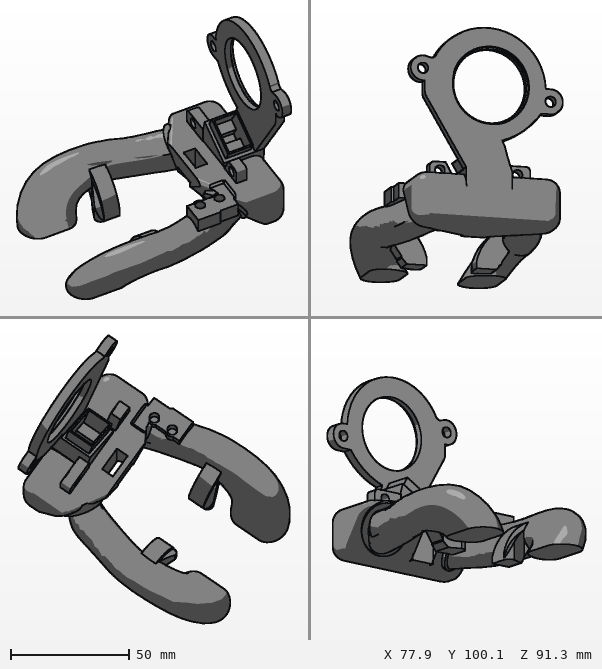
import cadquery as cq
import math

FAR = 150.2

BODY_HALF_WIDTH = 32.5
BODY_FRONT_Y = -32.9
BODY_BOTTOM_Z = 5.9
BODY_TOP_Z = 28.5
BODY_ROUND = 6.2

SHOULDER_POINT = (-13.9, BODY_FRONT_Y, 25.8)
SHOULDER_TURN = math.radians(30)
SHOULDER_DIP = math.radians(32)
SHOULDER_ROUND = 1.8

NOTCH_WIDTH = 10.9
NOTCH_BACK_Y = -24.6
NOTCH_ROOF_Z = 21.3
WINDOW_DEPTH = 5.5
SILL_DEPTH = 5.0

EAR_BACK_Y = -14.6
EAR_FRONT_Y = -19.6
EAR_TOP_Z = 35.4
EAR_HALF_SPAN = 22.1
EAR_ROUND = 2.0
LEFT_EAR_END_X = -7.9
RIGHT_EAR_TOP_X = 15.2
RIGHT_EAR_END_X = 11.4
ROOT_OVERLAP = 1.0
EAR_HOLE_DIAMETER = 4.3
EAR_HOLE_Z = 31.7
LEFT_EAR_HOLE_X = -16.5
RIGHT_EAR_HOLE_X = 17.6

PLATE_THICKNESS = 4.3
FAN_OPENING_DIAMETER = 32.0
FAN_RECESS_DIAMETER = 33.6
FAN_RECESS_DEPTH = 1.5
FAN_OPENING_CENTER = (-0.5, 66.5)
LUG_RADIUS = 5.4
LUG_HOLE_DIAMETER = 4.5
LEFT_LUG = (-26.8, 61.0)
RIGHT_LUG = (29.3, 72.3)
FOOT_Z = 22.0
FOOT_LEFT_X = -10.0
FOOT_RIGHT_X = 10.2

DUCT_FRONT_Y = -19.3
DUCT_LEFT_TOP = (-6.7, 40.3)
DUCT_TILT = 30.0
DUCT_TOP_LENGTH = 19.7
DUCT_RIGHT_TOP = (
    DUCT_LEFT_TOP[0] + DUCT_TOP_LENGTH * math.cos(math.radians(DUCT_TILT)),
    DUCT_LEFT_TOP[1] - DUCT_TOP_LENGTH * math.sin(math.radians(DUCT_TILT)),
)
DUCT_CURVE_Z = 29.3
LIP_LENGTH = 16.7
LIP_OFFSET = 1.4
LIP_HEIGHT = 5.0
LIP_BACK_Y = -5.7
LIP_FRONT_Y = -17.8
LIP_WALL = 0.8
DUCT_DEPTH = 8.3
WELL_OFFSET = 4.8
WELL_LENGTH = 4.2
WELL_DEPTH = 5.0

FINGER_TILT = math.radians(32)
FINGER_END_Z = 0.8
FINGER_THICKNESS = 14.5
FINGER_OUT = 17.7
FINGER_STATIONS = (
    (-16, -24.0, 6.2, 16.6, 15.6),
    (-26, -24.7, 10.2, 17.8, 16.6),
    (-36, -25.6, 13.9, 17.2, 16.2),
    (-46, -27.0, 16.2, 17.1, 15.6),
    (-55.1, -28.5, 17.7, 17.2, 15.2),
)
BEND_ANGLES = (15, 40, 65, 90)
BEND_V = -12.0
OUTER_BEND_Y = -74.9
OUTER_BEND_RUN = 25.2
OUTER_BEND_RISE = 24.9
INNER_BEND_Y = -59.1
INNER_BEND_RUN = 14.7
INNER_BEND_RISE = 8.3
TIP_OVERRUN = 8.0

COLLAR_CENTER = (-20.0, -23.4, 17.3)
COLLAR_HALF_WIDTH = 9.8
COLLAR_HALF_HEIGHT = 11.8
COLLAR_HEIGHT = 1.5
COLLAR_ROOT = 2.0

PAD_BACK_Y = -57.8
PAD_FRONT_Y = -65.4
PAD_TIP_Y = -68.3
PAD_TIP_X = -10.9
BEAD_ROOT_X = -22.0
BEAD_INSET = 2.0

SWITCH_TOP_Z = 27.4
SWITCH_BOTTOM_Z = 21.0
SWITCH_LEFT_X = 18.4
SWITCH_BACK_Y = -23.8
SWITCH_RIGHT_X = 33.6
SWITCH_FRONT_Y = -44.1
SWITCH_STEP = 0.8
SWITCH_STEP_Y = -32.8
SWITCH_NECK_X = 23.5
SWITCH_NECK_Y = -27.0
POCKET_SIZE = 30.0
POCKET_WALL_SLOPE = 38.0
SWITCH_HOLE_DIAMETER = 4.3
SWITCH_HOLE_X = 25.7
SWITCH_HOLE_YS = (-29.7, -38.9)
SWITCH_BOSS_RADIUS = 3.0


def box(x0, x1, y0, y1, z0, z1):
    return cq.Workplane("XY").box(x1 - x0, y1 - y0, z1 - z0, centered=False).translate((x0, y0, z0))


def mirrored_pair(left):
    return left.union(left.mirror("YZ"))


def front_prism(sketch, back_y, front_y):
    """Extrude a closed XZ outline from back_y forward to front_y."""
    return sketch.extrude(back_y - front_y).translate((0, back_y, 0))


def shoulder_plane(origin):
    normal = (
        -math.sin(SHOULDER_TURN) * math.cos(SHOULDER_DIP),
        -math.cos(SHOULDER_TURN) * math.cos(SHOULDER_DIP),
        -math.sin(SHOULDER_DIP),
    )
    x_dir = (math.cos(SHOULDER_TURN), -math.sin(SHOULDER_TURN), 0)
    return cq.Plane(origin=origin, xDir=x_dir, normal=normal)


def make_body():
    """Rounded block; each half is cut by its shoulder, rounded there, then trimmed at the front."""
    block = box(-BODY_HALF_WIDTH, BODY_HALF_WIDTH, 3 * BODY_FRONT_Y, 0, BODY_BOTTOM_Z, BODY_TOP_Z)
    block = block.edges("|Y or >Y").fillet(BODY_ROUND)
    shoulder = shoulder_plane(SHOULDER_POINT)
    beyond = cq.Workplane(shoulder).rect(2 * FAR, 2 * FAR).extrude(FAR)
    block = block.cut(beyond)
    shoulder_face = block.faces(cq.DirectionMinMaxSelector(shoulder.zDir, True))
    block = shoulder_face.edges().fillet(SHOULDER_ROUND)
    left = block.intersect(box(-BODY_HALF_WIDTH, 0, BODY_FRONT_Y, 0, BODY_BOTTOM_Z, BODY_TOP_Z))
    return mirrored_pair(left)


def cut_notch(body):
    half = NOTCH_WIDTH / 2
    notch = box(-half, half, BODY_FRONT_Y, NOTCH_BACK_Y, BODY_BOTTOM_Z, NOTCH_ROOF_Z)
    window = box(-half, half, NOTCH_BACK_Y - WINDOW_DEPTH, NOTCH_BACK_Y, BODY_BOTTOM_Z, BODY_TOP_Z)
    sill = box(-half, half, NOTCH_BACK_Y, NOTCH_BACK_Y + SILL_DEPTH, BODY_BOTTOM_Z, NOTCH_ROOF_Z)
    return body.cut(notch).union(sill).cut(window)


def make_ears():
    ear_root_z = BODY_TOP_Z - ROOT_OVERLAP
    left = (
        cq.Workplane("XZ")
        .moveTo(-EAR_HALF_SPAN, ear_root_z)
        .lineTo(-EAR_HALF_SPAN, EAR_TOP_Z - EAR_ROUND)
        .radiusArc((-EAR_HALF_SPAN + EAR_ROUND, EAR_TOP_Z), EAR_ROUND)
        .lineTo(LEFT_EAR_END_X, EAR_TOP_Z)
        .lineTo(LEFT_EAR_END_X, ear_root_z)
        .close()
    )
    right = (
        cq.Workplane("XZ")
        .moveTo(EAR_HALF_SPAN, ear_root_z)
        .lineTo(EAR_HALF_SPAN, EAR_TOP_Z - EAR_ROUND)
        .radiusArc((EAR_HALF_SPAN - EAR_ROUND, EAR_TOP_Z), -EAR_ROUND)
        .lineTo(RIGHT_EAR_TOP_X, EAR_TOP_Z)
        .lineTo(RIGHT_EAR_END_X, BODY_TOP_Z)
        .lineTo(RIGHT_EAR_END_X, ear_root_z)
        .close()
    )
    ears = front_prism(left, EAR_BACK_Y, EAR_FRONT_Y).union(front_prism(right, EAR_BACK_Y, EAR_FRONT_Y))
    holes = cq.Workplane("XZ").pushPoints([(LEFT_EAR_HOLE_X, EAR_HOLE_Z), (RIGHT_EAR_HOLE_X, EAR_HOLE_Z)])
    return ears.cut(front_prism(holes.circle(EAR_HOLE_DIAMETER / 2), EAR_BACK_Y, EAR_FRONT_Y))


def make_plate():
    outline = (
        cq.Workplane("XZ")
        .moveTo(-5.6, 42.9)
        .threePointArc((-16.3, 48.6), (-22.8, 55.6))
        .lineTo(LEFT_LUG[0], LEFT_LUG[1] - LUG_RADIUS)
        .lineTo(LEFT_LUG[0], LEFT_LUG[1] + LUG_RADIUS)
        .lineTo(-24.7, 66.5)
        .threePointArc((0.95, 91.3), (23.2, 78.9))
        .threePointArc((24.1, 77.5), (25.4, 76.9))
        .lineTo(RIGHT_LUG[0], RIGHT_LUG[1] + LUG_RADIUS)
        .lineTo(28.5, 67.0)
        .lineTo(28.5, 62.6)
        .threePointArc((28.3, 61.1), (27.7, 59.8))
        .lineTo(*DUCT_RIGHT_TOP)
        .lineTo(FOOT_RIGHT_X, FOOT_Z)
        .lineTo(0, FOOT_Z)
        .lineTo(*DUCT_LEFT_TOP)
        .close()
    )
    plate = front_prism(outline, 0, -PLATE_THICKNESS)
    lugs = cq.Workplane("XZ").pushPoints([LEFT_LUG, RIGHT_LUG])
    plate = plate.union(front_prism(lugs.circle(LUG_RADIUS), 0, -PLATE_THICKNESS))
    plate = plate.cut(front_prism(lugs.circle(LUG_HOLE_DIAMETER / 2), 0, -PLATE_THICKNESS))
    opening = cq.Workplane("XZ").center(*FAN_OPENING_CENTER).circle(FAN_OPENING_DIAMETER / 2)
    plate = plate.cut(front_prism(opening, 0, -PLATE_THICKNESS))
    recess = cq.Workplane("XZ").center(*FAN_OPENING_CENTER).circle(FAN_RECESS_DIAMETER / 2)
    return plate.cut(front_prism(recess, 0, -FAN_RECESS_DEPTH))


def tilted_box(start, length, low, high, back_y, front_y):
    """Box lying along the slanted top of the outlet block, low..high measured off that top."""
    block = box(start, start + length, front_y, back_y, low, high)
    block = block.rotate((0, 0, 0), (0, 1, 0), DUCT_TILT)
    return block.translate((DUCT_LEFT_TOP[0], 0, DUCT_LEFT_TOP[1]))


def make_duct():
    outline = (
        cq.Workplane("XZ")
        .moveTo(*DUCT_LEFT_TOP)
        .lineTo(*DUCT_RIGHT_TOP)
        .lineTo(FOOT_RIGHT_X, FOOT_Z)
        .lineTo(FOOT_LEFT_X, FOOT_Z)
        .lineTo(FOOT_LEFT_X, DUCT_CURVE_Z)
        .threePointArc((-8.1, 35.2), DUCT_LEFT_TOP)
        .close()
    )
    duct = front_prism(outline, 0, DUCT_FRONT_Y)
    return duct.union(tilted_box(LIP_OFFSET, LIP_LENGTH, 0, LIP_HEIGHT, LIP_BACK_Y, LIP_FRONT_Y))


def make_duct_bore():
    """Shallow mouth inside the lip, with a deeper well along the middle."""
    start = LIP_OFFSET + LIP_WALL
    back = LIP_BACK_Y - LIP_WALL
    front = LIP_FRONT_Y + LIP_WALL
    floor = LIP_HEIGHT - DUCT_DEPTH
    mouth = tilted_box(start, LIP_LENGTH - 2 * LIP_WALL, floor, LIP_HEIGHT, back, front)
    well = tilted_box(start + WELL_OFFSET, WELL_LENGTH, floor - WELL_DEPTH, LIP_HEIGHT, back, front)
    return mouth.union(well)


def finger_point(y, v, w):
    """Point at depth y, v down the tilted finger plane and w out from it."""
    x = v * math.sin(FINGER_TILT) - w * math.cos(FINGER_TILT)
    z = -v * math.cos(FINGER_TILT) - w * math.sin(FINGER_TILT)
    return cq.Vector(x, y, z)


def finger_section(outer, inner, w, thickness):
    """Slot-shaped wire running from the outer to the inner edge of the finger."""
    a = finger_point(*outer, w)
    b = finger_point(*inner, w)
    long_axis = b - a
    across = finger_point(0, 0, 1)
    plane = cq.Plane(origin=((a + b) * 0.5).toTuple(), xDir=long_axis.toTuple(),
                     normal=long_axis.cross(across).toTuple())
    return cq.Workplane(plane).slot2D(long_axis.Length, thickness).val()


def make_left_finger():
    sections = []
    for y, v, w, length, thickness in FINGER_STATIONS:
        sections.append(finger_section((y, v - length / 2), (y, v + length / 2), w, thickness))
    for degrees in BEND_ANGLES:
        sine = math.sin(math.radians(degrees))
        cosine = math.cos(math.radians(degrees))
        outer = (OUTER_BEND_Y - OUTER_BEND_RUN * sine, BEND_V - OUTER_BEND_RISE * cosine)
        inner = (INNER_BEND_Y - INNER_BEND_RUN * sine, BEND_V - INNER_BEND_RISE * cosine)
        sections.append(finger_section(outer, inner, FINGER_OUT, FINGER_THICKNESS))
    tip_v = BEND_V + TIP_OVERRUN
    outer_tip = (OUTER_BEND_Y - OUTER_BEND_RUN, tip_v)
    inner_tip = (INNER_BEND_Y - INNER_BEND_RUN, tip_v)
    sections.append(finger_section(outer_tip, inner_tip, FINGER_OUT, FINGER_THICKNESS))
    finger = cq.Workplane(cq.Solid.makeLoft(sections))
    below = box(-FAR, FAR, -FAR, 0, -FAR, FINGER_END_Z)
    return finger.cut(below)


def make_left_collar():
    plane = shoulder_plane(COLLAR_CENTER)
    disc = cq.Workplane(plane).workplane(offset=-COLLAR_ROOT).ellipse(COLLAR_HALF_WIDTH, COLLAR_HALF_HEIGHT)
    return disc.extrude(COLLAR_ROOT + COLLAR_HEIGHT)


def pad_profile(inset):
    """Hooked XZ outline of a pad with its curved back drawn in by inset."""
    return (
        cq.Workplane("XZ")
        .moveTo(PAD_TIP_X, 0)
        .lineTo(PAD_TIP_X, 3 - inset)
        .threePointArc((-16 - inset / 2, 13 - inset), (-24.5 - inset, 19 - inset))
        .lineTo(-28 - inset, 12)
        .lineTo(-19.8, 0)
        .close()
    )


def make_left_pad():
    pad = front_prism(pad_profile(0), PAD_BACK_Y, PAD_FRONT_Y)
    bead_plan = (
        cq.Workplane("XY")
        .moveTo(PAD_TIP_X, PAD_BACK_Y)
        .lineTo(PAD_TIP_X, PAD_FRONT_Y)
        .threePointArc((-11.8, -67.6), (-14.2, PAD_TIP_Y))
        .lineTo(BEAD_ROOT_X, PAD_FRONT_Y)
        .lineTo(BEAD_ROOT_X, PAD_BACK_Y)
        .close()
        .extrude(FINGER_THICKNESS)
    )
    bead = front_prism(pad_profile(BEAD_INSET), PAD_BACK_Y, PAD_TIP_Y).intersect(bead_plan)
    return pad.union(bead)


def make_switch_block():
    block = (
        cq.Workplane("XY")
        .moveTo(SWITCH_LEFT_X, SWITCH_BACK_Y)
        .lineTo(SWITCH_RIGHT_X - SWITCH_STEP, SWITCH_BACK_Y - SWITCH_STEP)
        .lineTo(SWITCH_RIGHT_X - SWITCH_STEP, SWITCH_STEP_Y)
        .lineTo(SWITCH_RIGHT_X, SWITCH_STEP_Y - SWITCH_STEP)
        .lineTo(SWITCH_RIGHT_X, SWITCH_FRONT_Y)
        .lineTo(SWITCH_NECK_X, SWITCH_FRONT_Y)
        .lineTo(SWITCH_NECK_X, SWITCH_NECK_Y)
        .lineTo(SWITCH_LEFT_X, SWITCH_NECK_Y)
        .close()
        .extrude(SWITCH_TOP_Z - SWITCH_BOTTOM_Z)
    )
    points = [(SWITCH_HOLE_X, y) for y in SWITCH_HOLE_YS]
    bosses = cq.Workplane("XY").pushPoints(points).circle(SWITCH_BOSS_RADIUS)
    block = block.union(bosses.extrude(SWITCH_TOP_Z - SWITCH_BOTTOM_Z))
    return block.translate((0, 0, SWITCH_BOTTOM_Z))


def make_switch_pocket():
    """Shallow corner pocket in the roof of the body with sloping walls."""
    floor = cq.Workplane("XY").workplane(offset=SWITCH_TOP_Z)
    floor = floor.center(SWITCH_LEFT_X + POCKET_SIZE / 2, SWITCH_BACK_Y - POCKET_SIZE / 2)
    floor = floor.rect(POCKET_SIZE, POCKET_SIZE)
    return floor.extrude(BODY_TOP_Z - SWITCH_TOP_Z, taper=-POCKET_WALL_SLOPE)


def make_switch_holes():
    points = [(SWITCH_HOLE_X, y) for y in SWITCH_HOLE_YS]
    holes = cq.Workplane("XY").workplane(offset=SWITCH_BOTTOM_Z).pushPoints(points)
    return holes.circle(SWITCH_HOLE_DIAMETER / 2).extrude(BODY_TOP_Z - SWITCH_BOTTOM_Z)


finger = make_left_finger().union(make_left_collar()).union(make_left_pad())

result = make_body().union(mirrored_pair(finger))
result = cut_notch(result).cut(make_switch_pocket())
result = result.union(make_ears()).union(make_plate())
result = result.union(make_duct()).cut(make_duct_bore())
result = result.union(make_switch_block()).cut(make_switch_holes())